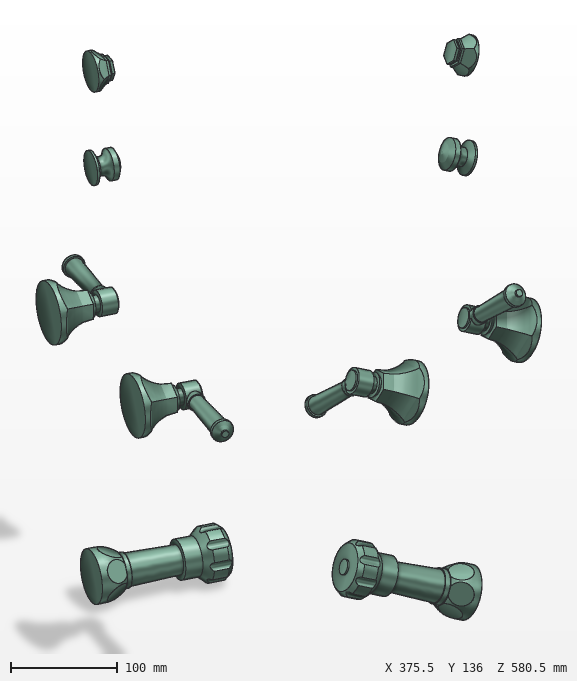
import cadquery as cq

HEX_SIDES = 6
FLATS_FACE_Z = 90
PRISM_HALF_LENGTH = 58.0
WALL_DIRECTION = (0, 1, 0)

OVERALL_HEIGHT = 580.5
OVERALL_WIDTH = 375.5
HANDLE_X = 101.5
HANDLE_Z = -34.0
KNOB_Z = 168.5
SPRAY_X = 2.0

CAP_RADIUS = 20.0
CAP_RIM = 2.0
CAP_SHOULDER = 13.0
CAP_SHOULDER_TOP = 15.0
CAP_SHOULDER_APOTHEM = 12.0
CAP_GROOVE_TOP = 17.0
CAP_GROOVE_APOTHEM = 10.0
CAP_HEIGHT = 20.0
CAP_TOP_APOTHEM = 10.5

KNOB_RADIUS = 17.0
KNOB_RIM = 2.5
KNOB_FOOT_TOP = 6.5
KNOB_NECK_RADIUS = 9.0
KNOB_NECK_TOP = 9.0
KNOB_BAND_BOTTOM = 17.5
KNOB_BAND_TOP = 23.0
KNOB_BAND_RADIUS = 15.5
KNOB_FLARE_MIDDLE = (11.0, 14.5)
KNOB_DOME_RADIUS = 9.0
KNOB_DOME_TOP = 26.5
KNOB_TIP_RADIUS = 2.0
KNOB_HEIGHT = 28.5

ESCUTCHEON_RADIUS = 31.0
ESCUTCHEON_APOTHEM = 14.0
ESCUTCHEON_HEIGHT = 39.5
ESCUTCHEON_SHOULDER = (15.0, 28.5)
ESCUTCHEON_WAIST = (20.0, 17.0)
ESCUTCHEON_SKIRT = (25.0, 9.0)
ESCUTCHEON_SKIRT_END = (31.5, 4.5)
LIP_BOTTOM_RADIUS = 10.0
LIP_RADIUS = 12.0
LIP_TOP = 43.0
NECK_RADIUS = 8.0
HUB_BOTTOM = 49.5
HUB_RADIUS = 13.0
HUB_TOP = 65.5
BUTTON_RADIUS = 10.0
BUTTON_TOP = 67.5

LEVER_HEIGHT = 58.0
LEVER_REACH = OVERALL_WIDTH / 2 - HANDLE_X
LEVER_COLLAR_END = 17.0
LEVER_COLLAR_RADIUS = 8.5
GRIP_START_RADIUS = 7.5
GRIP_END = 76.0
GRIP_END_RADIUS = 9.0
POMMEL_RADIUS = 11.0
POMMEL_RIM_END = 79.5
POMMEL_STEP_RADIUS = 7.0
POMMEL_STEP = 82.0
POMMEL_CONE_END = 84.0
LEVER_TIP_RADIUS = 3.5

SPRAY_BASE_RADIUS = 26.5
SPRAY_BASE_TOP = 7.0
BELL_TOP = 29.0
BELL_TOP_RADIUS = 18.5
BELL_BULGE = (24.5, 20.0)
BELL_TOP_APOTHEM = 18.0
FERRULE_TOP = 34.0
FERRULE_RADIUS = 17.5
TUBE_BOTTOM_RADIUS = 16.0
TUBE_TOP = 87.5
TUBE_TOP_RADIUS = 14.5
COLLAR_RADIUS = 20.0
COLLAR_TOP = 105.0
HEAD_RADIUS = 27.0
HEAD_BOTTOM = 114.0
HEAD_SHOULDER = 129.0
HEAD_TOP = 134.0
HEAD_FACE_RADIUS = 23.0
NOZZLE_RADIUS = 7.5
SPRAY_HEIGHT = 136.0
FLUTE_COUNT = 8
FLUTE_RADIUS = 5.0
FLUTE_DEPTH = 3.0
FLUTE_CENTER_RADIUS = HEAD_RADIUS - FLUTE_DEPTH + FLUTE_RADIUS
FLUTE_EDGE_DISTANCE = (
    HEAD_RADIUS**2 + FLUTE_CENTER_RADIUS**2 - FLUTE_RADIUS**2
) / (2 * FLUTE_CENTER_RADIUS)
SPRAY_Z = FLUTE_EDGE_DISTANCE - OVERALL_HEIGHT / 2
CAP_Z = OVERALL_HEIGHT / 2 - CAP_RADIUS


def turned(profile):
    """Revolve a half profile of (radius, height) about the Y axis."""
    return profile.close().revolve(360, (0, 0, 0), WALL_DIRECTION)


def cylinder(radius, bottom, top):
    return cq.Workplane("XZ", origin=(0, bottom, 0)).circle(radius).extrude(bottom - top)


def hexagonal(half_profile, first_turn=0):
    """Hexagonal body whose flats follow a profile of (apothem, height).

    Each of the three pairs of opposite flats is one prism; the body is what they share.
    """
    half = half_profile.close().extrude(PRISM_HALF_LENGTH, both=True)
    prism = half.union(half.mirror("YZ"))
    body = prism.rotate((0, 0, 0), WALL_DIRECTION, first_turn)
    for pair in range(1, HEX_SIDES // 2):
        turn = first_turn + pair * 360 / HEX_SIDES
        body = body.intersect(prism.rotate((0, 0, 0), WALL_DIRECTION, turn))
    return body


def make_cap():
    profile = (
        cq.Workplane("XY").lineTo(CAP_RADIUS, 0).lineTo(CAP_RADIUS, CAP_RIM)
        .lineTo(CAP_SHOULDER_APOTHEM, CAP_SHOULDER).lineTo(CAP_SHOULDER_APOTHEM, CAP_SHOULDER_TOP)
        .lineTo(CAP_GROOVE_APOTHEM, CAP_SHOULDER_TOP).lineTo(CAP_GROOVE_APOTHEM, CAP_GROOVE_TOP)
        .lineTo(CAP_TOP_APOTHEM, CAP_GROOVE_TOP).lineTo(CAP_TOP_APOTHEM, CAP_HEIGHT).lineTo(0, CAP_HEIGHT)
    )
    return hexagonal(profile, FLATS_FACE_Z).intersect(cylinder(CAP_RADIUS, 0, CAP_HEIGHT))


def make_knob():
    return turned(
        cq.Workplane("XY").lineTo(KNOB_RADIUS, 0).lineTo(KNOB_RADIUS, KNOB_RIM)
        .lineTo(KNOB_NECK_RADIUS, KNOB_FOOT_TOP).lineTo(KNOB_NECK_RADIUS, KNOB_NECK_TOP)
        .threePointArc(KNOB_FLARE_MIDDLE, (KNOB_BAND_RADIUS, KNOB_BAND_BOTTOM))
        .lineTo(KNOB_BAND_RADIUS, KNOB_BAND_TOP).lineTo(KNOB_DOME_RADIUS, KNOB_DOME_TOP)
        .lineTo(KNOB_TIP_RADIUS, KNOB_HEIGHT).lineTo(0, KNOB_HEIGHT)
    )


def make_escutcheon():
    skirt = (
        cq.Workplane("XY").lineTo(ESCUTCHEON_SKIRT_END[0], 0).lineTo(*ESCUTCHEON_SKIRT_END)
        .lineTo(*ESCUTCHEON_SKIRT).threePointArc(ESCUTCHEON_WAIST, ESCUTCHEON_SHOULDER)
        .lineTo(ESCUTCHEON_APOTHEM, ESCUTCHEON_HEIGHT).lineTo(0, ESCUTCHEON_HEIGHT)
    )
    return hexagonal(skirt).intersect(cylinder(ESCUTCHEON_RADIUS, 0, ESCUTCHEON_HEIGHT))


def make_hub():
    return turned(
        cq.Workplane("XY").moveTo(0, ESCUTCHEON_HEIGHT).lineTo(LIP_BOTTOM_RADIUS, ESCUTCHEON_HEIGHT)
        .lineTo(LIP_RADIUS, LIP_TOP).lineTo(NECK_RADIUS, LIP_TOP).lineTo(NECK_RADIUS, HUB_BOTTOM)
        .lineTo(HUB_RADIUS, HUB_BOTTOM).lineTo(HUB_RADIUS, HUB_TOP).lineTo(BUTTON_RADIUS, HUB_TOP)
        .lineTo(BUTTON_RADIUS, BUTTON_TOP).lineTo(0, BUTTON_TOP)
    )


def make_lever():
    """Lever along +X, turned about its own axis."""
    outline = (
        cq.Workplane("XY", origin=(0, LEVER_HEIGHT, 0))
        .lineTo(0, NECK_RADIUS).lineTo(LEVER_COLLAR_END, LEVER_COLLAR_RADIUS)
        .lineTo(LEVER_COLLAR_END, GRIP_START_RADIUS).lineTo(GRIP_END, GRIP_END_RADIUS)
        .lineTo(GRIP_END, POMMEL_RADIUS).lineTo(POMMEL_RIM_END, POMMEL_RADIUS)
        .lineTo(POMMEL_STEP, POMMEL_STEP_RADIUS)
        .lineTo(POMMEL_CONE_END, LEVER_TIP_RADIUS).lineTo(LEVER_REACH, LEVER_TIP_RADIUS)
        .lineTo(LEVER_REACH, 0).close()
    )
    return outline.revolve(360, (0, 0, 0), (1, 0, 0))


def make_handle():
    return make_escutcheon().union(make_hub()).union(make_lever())


def make_bell():
    dome = turned(
        cq.Workplane("XY").lineTo(SPRAY_BASE_RADIUS, 0).lineTo(SPRAY_BASE_RADIUS, SPRAY_BASE_TOP)
        .threePointArc(BELL_BULGE, (BELL_TOP_RADIUS, BELL_TOP)).lineTo(0, BELL_TOP)
    )
    flats = (
        cq.Workplane("XY").lineTo(SPRAY_BASE_RADIUS, 0).lineTo(SPRAY_BASE_RADIUS, SPRAY_BASE_TOP)
        .lineTo(BELL_TOP_APOTHEM, BELL_TOP).lineTo(0, BELL_TOP)
    )
    return dome.intersect(hexagonal(flats, FLATS_FACE_Z))


def make_spray():
    ferrule = cylinder(FERRULE_RADIUS, BELL_TOP, FERRULE_TOP)
    upper = turned(
        cq.Workplane("XY").moveTo(0, FERRULE_TOP).lineTo(TUBE_BOTTOM_RADIUS, FERRULE_TOP)
        .lineTo(TUBE_TOP_RADIUS, TUBE_TOP).lineTo(COLLAR_RADIUS, TUBE_TOP)
        .lineTo(COLLAR_RADIUS, COLLAR_TOP).lineTo(HEAD_RADIUS, HEAD_BOTTOM)
        .lineTo(HEAD_RADIUS, HEAD_SHOULDER).lineTo(HEAD_FACE_RADIUS, HEAD_TOP)
        .lineTo(NOZZLE_RADIUS, HEAD_TOP).lineTo(NOZZLE_RADIUS, SPRAY_HEIGHT).lineTo(0, SPRAY_HEIGHT)
    )
    spray = make_bell().union(ferrule).union(upper)
    flute = cylinder(FLUTE_RADIUS, COLLAR_TOP, SPRAY_HEIGHT).translate((FLUTE_CENTER_RADIUS, 0, 0))
    for index in range(FLUTE_COUNT):
        spray = spray.cut(flute.rotate((0, 0, 0), WALL_DIRECTION, index * 360 / FLUTE_COUNT))
    return spray


cap = make_cap().translate((0, 0, CAP_Z))
knob = make_knob().translate((0, 0, KNOB_Z))
spray = make_spray().translate((SPRAY_X, 0, SPRAY_Z))
handles = []
for side, turn in ((1, 0), (-1, 180)):
    handle = make_handle().rotate((0, 0, 0), WALL_DIRECTION, turn)
    handles.append(handle.translate((side * HANDLE_X, 0, HANDLE_Z)))

result = cq.Compound.makeCompound(
    [cap.val(), knob.val(), *[handle.val() for handle in handles], spray.val()]
)